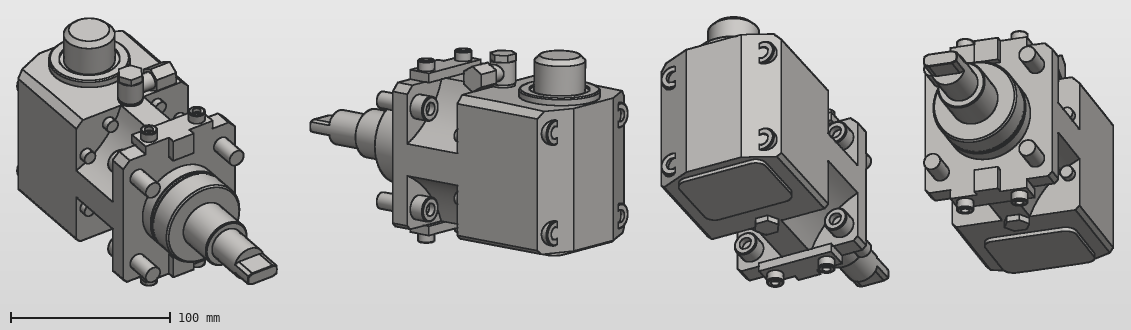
import cadquery as cq
import math


housing_width = 84.0
half_width = housing_width / 2
housing_top = 47.0
housing_bottom = -45.0
top_chamfer = 5.0
bottom_chamfer = 2.7
block_end = 76.0
plate_start = 116.8
plate_end = 128.8
nose_half_width = 19.2
nose_depth = 10.5

tilt_start = 42.1
tilt_angle = 0.9

pocket_radius = 60.2
rib_half_width = 8.5
web_half_height = 10.3

bolt_y = 31.5
bolt_z = 32.3
bolt_head_radius = 7.8
bolt_head_length = 10.0
bolt_shank_radius = 5.3
bolt_end = 146.5
socket_radius = 4.0
socket_depth = 4.5
head_chamfer = 0.7

nose_screw_face = 4.7
nose_screw_length = 11.1
nose_screw_radius = 8.0

rear_screw_diameter = 8.2
rear_screw_radius = rear_screw_diameter / 2
rear_screw_length = 5.0
rear_screw_outer = (35.0, 20.0)
rear_screw_upper = (18.0, 37.5)

flange_diameter = 55.0
flange_radius = flange_diameter / 2
flange_end = 156.7
flange_chamfer = 1.1
groove_start = 137.8
groove_width = 2.5
groove_depth = 0.7
boss_diameter = 31.0
boss_radius = boss_diameter / 2
boss_end = 182.3
boss_chamfer = 0.7
shaft_diameter = 22.0
shaft_radius = shaft_diameter / 2
tang_start = 207.5
shaft_end = 223.0
shaft_chamfer = 0.5
tang_half_height = 4.2
tang_flat_width = 15.4
tang_flat_half_width = tang_flat_width / 2
tang_edge_half_height = 3.0

knob_x = 27.9
knob_radius = 16.0
knob_top = 73.0
knob_chamfer = 3.3
collar_radius = 25.5
collar_top = 51.5
collar_chamfer = 1.0
collar_embed = 2.7
recess_radius = 19.0
recess_depth = 1.3

cover_x = 29.9
cover_length = 48.5
cover_width = 60.2
cover_thickness = 2.7
cover_corner = 7.1

fitting_x = 74.0
fitting_radius = 8.0
fitting_seat_radius = 7.5
fitting_seat_height = 1.5
fitting_body_top = 63.0
fitting_top = 67.5
hex_flats = 14.3
drain_bottom = -49.0
nozzle_z = 56.0
nozzle_start = 15.0
nozzle_end = 29.6
nozzle_neck_radius = 5.5

clamp_start = 113.5
clamp_half_width = 25.2
clamp_height = 6.0
key_end = 133.7
key_width = 15.4
key_half_width = key_width / 2
key_inset = 9.0
clamp_screw_x = 121.7
clamp_screw_spacing = 35.9
clamp_screw_y = clamp_screw_spacing / 2
clamp_screw_diameter = 10.5
clamp_screw_radius = clamp_screw_diameter / 2
clamp_screw_length = 6.2
clamp_socket_radius = 2.7
clamp_socket_depth = 2.7
clamp_socket_cone = 1.5

signs = (-1, 1)
quadrants = [(y_side, z_side) for y_side in signs for z_side in signs]
hex_across_corners = hex_flats / math.cos(math.radians(30))


def box(x_range, y_range, z_range):
    """Box given by its limits along each axis."""
    size = [limits[1] - limits[0] for limits in (x_range, y_range, z_range)]
    corner = (x_range[0], y_range[0], z_range[0])
    return cq.Workplane("XY").box(*size, centered=False).translate(corner)


def rod_x(start, end, radius, y=0, z=0):
    """Cylinder along X."""
    return cq.Workplane("YZ", origin=(start, y, z)).circle(radius).extrude(end - start)


def rod_z(start, end, radius, x, y=0):
    """Cylinder along Z."""
    return cq.Workplane("XY", origin=(x, y, start)).circle(radius).extrude(end - start)


def hex_prism(plane, origin, length):
    """Hexagonal prism with two of its corners on the plane's local Y axis."""
    sketch = cq.Workplane(plane, origin=origin).transformed(rotate=(0, 0, 90))
    return sketch.polygon(6, hex_across_corners).extrude(length)


def socket_head_x(face, end, radius, y, z):
    """Screw head along X with a round socket in its -X face."""
    head = rod_x(face, end, radius, y, z).faces("<X").chamfer(head_chamfer)
    return head.cut(rod_x(face, face + socket_depth, socket_radius, y, z))


def make_housing():
    top_flat = half_width - top_chamfer
    bottom_flat = half_width - bottom_chamfer
    outline = [
        (-bottom_flat, housing_bottom),
        (bottom_flat, housing_bottom),
        (half_width, housing_bottom + bottom_chamfer),
        (half_width, housing_top - top_chamfer),
        (top_flat, housing_top),
        (-top_flat, housing_top),
        (-half_width, housing_top - top_chamfer),
        (-half_width, housing_bottom + bottom_chamfer),
    ]
    housing = cq.Workplane("YZ").polyline(outline).close().extrude(plate_end)
    for side in signs:
        bevel = [
            (0, side * nose_half_width),
            (nose_depth, side * half_width),
            (0, side * half_width),
        ]
        cutter = cq.Workplane("XY", origin=(0, 0, housing_bottom)).polyline(bevel).close()
        housing = housing.cut(cutter.extrude(housing_top - housing_bottom))
    drop = tilt_start * math.tan(math.radians(tilt_angle))
    wedge = [(0, housing_top), (tilt_start, housing_top), (0, housing_top - drop)]
    cutter = cq.Workplane("XZ").polyline(wedge).close().extrude(half_width, both=True)
    return housing.cut(cutter)


def cut_pockets(housing):
    """Shallow round pocket along each corner, between the upright rib and the flat web."""
    pocket_depth = housing_top - web_half_height
    pocket_width = half_width - rib_half_width
    half_chord = math.hypot(pocket_width, pocket_depth) / 2
    sagitta = pocket_radius - math.sqrt(pocket_radius**2 - half_chord**2)
    middle_y = (half_width + rib_half_width) / 2 - sagitta * pocket_depth / (2 * half_chord)
    middle_z = (housing_top + web_half_height) / 2 - sagitta * pocket_width / (2 * half_chord)
    for y_side, z_side in quadrants:
        pocket = (
            cq.Workplane("YZ", origin=(block_end, 0, 0))
            .moveTo(y_side * rib_half_width, z_side * housing_top)
            .threePointArc(
                (y_side * middle_y, z_side * middle_z),
                (y_side * half_width, z_side * web_half_height),
            )
            .lineTo(y_side * half_width, z_side * housing_top)
            .close()
            .extrude(plate_start - block_end)
        )
        housing = housing.cut(pocket)
    return housing


def add_bolts(part):
    for y_side, z_side in quadrants:
        y = y_side * bolt_y
        z = z_side * bolt_z
        head_face = plate_start - bolt_head_length
        part = part.union(socket_head_x(head_face, plate_start, bolt_head_radius, y, z))
        part = part.union(rod_x(plate_start, bolt_end, bolt_shank_radius, y, z))
        nose_screw_end = nose_screw_face + nose_screw_length
        part = part.union(socket_head_x(nose_screw_face, nose_screw_end, nose_screw_radius, y, z))
    return part


def add_rear_screws(part):
    outer_y, outer_z = rear_screw_outer
    upper_y, upper_z = rear_screw_upper
    places = [(y_side * outer_y, z_side * outer_z) for y_side, z_side in quadrants]
    places += [(side * upper_y, upper_z) for side in signs]
    for y, z in places:
        part = part.union(rod_x(block_end, block_end + rear_screw_length, rear_screw_radius, y, z))
    return part


def make_shaft():
    flange = rod_x(plate_end, flange_end, flange_radius).faces(">X").chamfer(flange_chamfer)
    groove_end = groove_start + groove_width
    groove = rod_x(groove_start, groove_end, flange_radius)
    groove = groove.cut(rod_x(groove_start, groove_end, flange_radius - groove_depth))
    boss = rod_x(flange_end, boss_end, boss_radius).faces(">X").chamfer(boss_chamfer)
    shaft = rod_x(boss_end, shaft_end, shaft_radius)
    tang_outline = [
        (-shaft_radius, -tang_edge_half_height),
        (-tang_flat_half_width, -tang_half_height),
        (tang_flat_half_width, -tang_half_height),
        (shaft_radius, -tang_edge_half_height),
        (shaft_radius, tang_edge_half_height),
        (tang_flat_half_width, tang_half_height),
        (-tang_flat_half_width, tang_half_height),
        (-shaft_radius, tang_edge_half_height),
    ]
    tang = cq.Workplane("YZ", origin=(tang_start, 0, 0)).polyline(tang_outline).close()
    tang = tang.extrude(shaft_end - tang_start)
    waste = rod_x(tang_start, shaft_end, shaft_radius).cut(tang)
    shaft = shaft.cut(waste).faces(">X").chamfer(shaft_chamfer)
    return flange.cut(groove).union(boss).union(shaft)


def make_knob():
    """Collar and knob, leaning with the front part of the top face."""
    base = housing_top - collar_embed
    collar = rod_z(base, collar_top, collar_radius, knob_x).faces(">Z").chamfer(collar_chamfer)
    collar = collar.cut(rod_z(collar_top - recess_depth, collar_top, recess_radius, knob_x))
    knob = rod_z(base, knob_top, knob_radius, knob_x).faces(">Z").chamfer(knob_chamfer)
    pivot = (knob_x, 0, housing_top)
    pivot_end = (knob_x, 1, housing_top)
    return collar.union(knob).rotate(pivot, pivot_end, -tilt_angle)


def make_cover():
    cover = cq.Workplane("XY", origin=(cover_x, 0, housing_bottom))
    cover = cover.rect(cover_length, cover_width).extrude(-cover_thickness)
    return cover.edges("|Z").fillet(cover_corner)


def make_fittings():
    seat_top = housing_top + fitting_seat_height
    fitting = rod_z(housing_top, seat_top, fitting_seat_radius, fitting_x)
    fitting = fitting.union(rod_z(seat_top, fitting_body_top, fitting_radius, fitting_x))
    cap_origin = (fitting_x, 0, fitting_body_top)
    fitting = fitting.union(hex_prism("XY", cap_origin, fitting_top - fitting_body_top))
    drain_origin = (fitting_x, 0, drain_bottom)
    fitting = fitting.union(hex_prism("XY", drain_origin, housing_bottom - drain_bottom))
    neck = cq.Workplane("XZ", origin=(fitting_x, 0, nozzle_z)).circle(nozzle_neck_radius)
    nozzle_origin = (fitting_x, nozzle_end, nozzle_z)
    nozzle = hex_prism("XZ", nozzle_origin, nozzle_end - nozzle_start)
    return fitting.union(neck.extrude(-nozzle_start)).union(nozzle)


def make_clamp(side, face):
    """Clamp block with cone-bottomed screw sockets on a housing face; side is +1 above and -1 below."""
    outer = face + side * clamp_height
    z_range = sorted((face, outer))
    clamp = box((clamp_start, plate_end), (-clamp_half_width, clamp_half_width), z_range)
    key_range = sorted((face - side * key_inset, outer))
    clamp = clamp.union(box((plate_end, key_end), (-key_half_width, key_half_width), key_range))
    tip = outer + side * clamp_screw_length
    socket_floor = tip - side * clamp_socket_depth
    socket_point = socket_floor - side * clamp_socket_cone
    for y_side in signs:
        y = y_side * clamp_screw_y
        screw = rod_z(outer, tip, clamp_screw_radius, clamp_screw_x, y)
        end_face = ">Z" if side > 0 else "<Z"
        screw = screw.faces(end_face).chamfer(head_chamfer)
        socket_profile = [
            (clamp_screw_x, tip),
            (clamp_screw_x + clamp_socket_radius, tip),
            (clamp_screw_x + clamp_socket_radius, socket_floor),
            (clamp_screw_x, socket_point),
        ]
        socket = cq.Workplane("XZ", origin=(0, y, 0)).polyline(socket_profile).close()
        screw = screw.cut(socket.revolve(360, (clamp_screw_x, 0), (clamp_screw_x, 1)))
        clamp = clamp.union(screw)
    return clamp


result = cut_pockets(make_housing())
result = add_bolts(result)
result = add_rear_screws(result)
result = result.union(make_shaft())
result = result.union(make_knob())
result = result.union(make_cover())
result = result.union(make_fittings())
result = result.union(make_clamp(1, housing_top))
result = result.union(make_clamp(-1, housing_bottom))